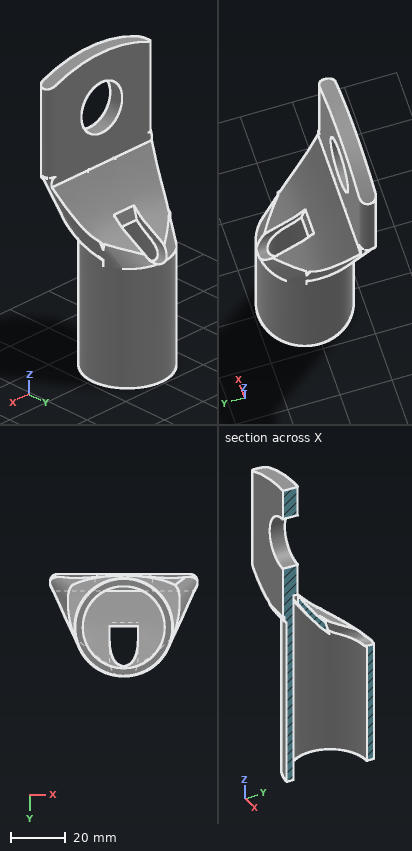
import cadquery as cq
import math

total_height = 124.9

palm_width = 54.0
palm_thickness = 6.2
palm_edge_radius = 3.0
palm_top_sagitta = 6.0
palm_bottom_z = 70.7
palm_bottom_half_width = 9.7
palm_side_start_z = 82.4
palm_corner_bulge = 1.1
bolt_hole_diameter = 21.0
bolt_hole_z = 102.0

barrel_diameter = 36.0
bore_diameter = 30.0
barrel_back_y = 37.5
barrel_rim_chamfer = 0.2
barrel_radius = barrel_diameter / 2
barrel_axis_y = barrel_back_y - barrel_radius

shoulder_z = 49.7
neck_z = 78.7
wall_drop = 4.0
back_slope = [(30.5, 55.2), (22.5, 59.7), (14.9, 66.8)]
underside_start_z = 69.4
underside_mid = (12.5, 59.1)
underside_end = (24.3, 52.2)

slot_width = 10.2
slot_bottom_z = 49.2
slot_end_y = 17.2
slot_end_inner_y = 19.1
slot_end_inner_z = 58.7
slot_end_outer_z = 65.2

half_width = palm_width / 2


def side_profile(roof_drop):
    """Side outline below the sloping back, lowered by roof_drop, extruded across the part."""
    slope = [(y, z - roof_drop) for y, z in back_slope]
    slope.append((palm_thickness, neck_z - roof_drop))
    return (
        cq.Workplane("YZ")
        .lineTo(barrel_back_y, 0)
        .lineTo(barrel_back_y, shoulder_z - roof_drop)
        .spline(slope, includeCurrent=True)
        .lineTo(palm_thickness, palm_side_start_z)
        .lineTo(0, palm_side_start_z)
        .close()
        .extrude(half_width, both=True)
    )


def palm():
    lower_side = (half_width + palm_bottom_half_width) / 2
    corner_mid = (
        lower_side + palm_corner_bulge,
        (palm_bottom_z + palm_side_start_z) / 2 - palm_corner_bulge,
    )
    shoulder = total_height - palm_top_sagitta
    outline = (
        cq.Workplane("XZ")
        .moveTo(-palm_bottom_half_width, palm_bottom_z)
        .lineTo(palm_bottom_half_width, palm_bottom_z)
        .threePointArc(corner_mid, (half_width, palm_side_start_z))
        .lineTo(half_width, shoulder)
        .threePointArc((0, total_height), (-half_width, shoulder))
        .lineTo(-half_width, palm_side_start_z)
        .threePointArc((-corner_mid[0], corner_mid[1]), (-palm_bottom_half_width, palm_bottom_z))
        .close()
        .extrude(-palm_thickness)
    )
    rounded_bar = (
        cq.Workplane("XY")
        .rect(palm_width, palm_thickness)
        .extrude(total_height)
        .translate((0, palm_thickness / 2, 0))
        .edges("|Z")
        .fillet(palm_edge_radius)
    )
    return outline.intersect(rounded_bar)


def barrel():
    return (
        cq.Workplane("XY")
        .center(0, barrel_axis_y)
        .circle(barrel_radius)
        .extrude(neck_z)
        .faces("<Z")
        .chamfer(barrel_rim_chamfer)
    )


def round_section(workplane):
    """Barrel circle split into eight arcs, matching the edges of the neck section."""
    corner_angles = [-20, 20, 40, 140, 160, 200, 220, 320, 340]

    def rim_point(angle):
        turn = math.radians(angle)
        return (barrel_radius * math.cos(turn), barrel_axis_y + barrel_radius * math.sin(turn))

    section = workplane.moveTo(*rim_point(corner_angles[0]))
    for start, end in zip(corner_angles, corner_angles[1:]):
        section = section.threePointArc(rim_point((start + end) / 2), rim_point(end))
    return section.close()


def neck_section(workplane):
    """Palm cross-section: a rectangle with four rounded corners."""
    r = palm_edge_radius
    inset = r * (1 - math.sqrt(0.5))
    x = half_width
    y = palm_thickness
    return (
        workplane.moveTo(x, r)
        .lineTo(x, y - r)
        .threePointArc((x - inset, y - inset), (x - r, y))
        .lineTo(r - x, y)
        .threePointArc((inset - x, y - inset), (-x, y - r))
        .lineTo(-x, r)
        .threePointArc((inset - x, inset), (r - x, 0))
        .lineTo(x - r, 0)
        .threePointArc((x - inset, inset), (x, r))
        .close()
    )


def transition():
    lower = round_section(cq.Workplane("XY").workplane(offset=shoulder_z))
    shell = neck_section(lower.workplane(offset=palm_side_start_z - shoulder_z)).loft(ruled=True)
    below_underside = (
        cq.Workplane("YZ")
        .lineTo(0, underside_start_z)
        .threePointArc(underside_mid, underside_end)
        .lineTo(underside_end[0], 0)
        .close()
        .extrude(half_width, both=True)
    )
    return shell.cut(below_underside)


def bore():
    straight_bore = (
        cq.Workplane("XY").center(0, barrel_axis_y).circle(bore_diameter / 2).extrude(neck_z)
    )
    return straight_bore.intersect(side_profile(wall_drop))


def inspection_slot():
    """Slot along Y with a round lower end and a slightly slanted inner end wall."""
    radius = slot_width / 2
    rounded = (
        cq.Workplane("XZ")
        .moveTo(-radius, neck_z)
        .lineTo(-radius, slot_bottom_z + radius)
        .threePointArc((0, slot_bottom_z), (radius, slot_bottom_z + radius))
        .lineTo(radius, neck_z)
        .close()
        .extrude(-barrel_back_y)
    )
    reach = (
        cq.Workplane("YZ")
        .moveTo(slot_end_inner_y, slot_bottom_z)
        .lineTo(slot_end_inner_y, slot_end_inner_z)
        .lineTo(slot_end_y, slot_end_outer_z)
        .lineTo(slot_end_y, neck_z)
        .lineTo(barrel_back_y, neck_z)
        .lineTo(barrel_back_y, slot_bottom_z)
        .close()
        .extrude(radius, both=True)
    )
    return rounded.intersect(reach)


def bolt_hole():
    return (
        cq.Workplane("XZ")
        .center(0, bolt_hole_z)
        .circle(bolt_hole_diameter / 2)
        .extrude(-palm_thickness)
    )


back_of_barrel = cq.Workplane("XY").box(
    palm_width, barrel_radius, neck_z, centered=(True, False, False)
).translate((0, underside_end[0], shoulder_z))

body = barrel().cut(back_of_barrel).union(transition())
body = body.intersect(side_profile(0)).union(palm())
result = body.cut(bore()).cut(inspection_slot()).cut(bolt_hole())